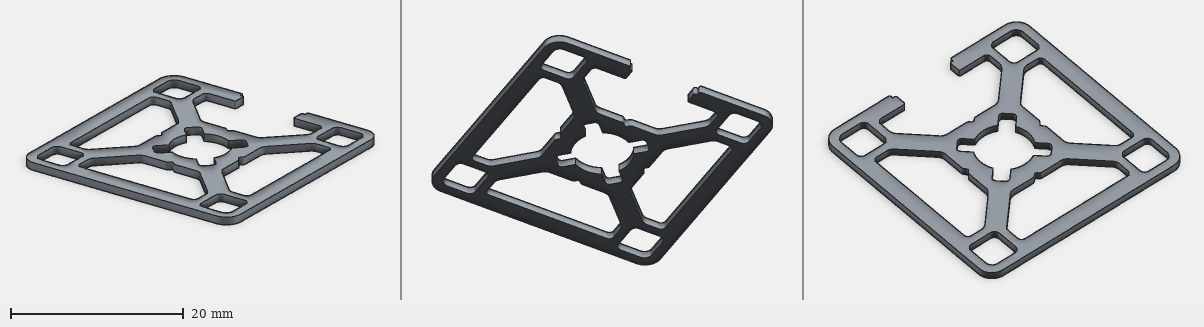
import cadquery as cq

side = 30.0
half_side = side / 2
thickness = 1.0
outer_radius = 2.0

cell_wall = 1.2
cell_size = 4.32
cell_radius = 0.75
cell_outer_radius = 1.0

slot_wall = 2.2
slot_roof = half_side - slot_wall
slot_half_width = 8.4
slot_floor = 5.9
web_offset = 1.8
slot_radius = 0.6
web_radius = 1.2

groove_depth = 0.5
groove_edge_radius = 0.6
groove_tip_radius = 0.3

opening_half_width = 4.1
step_width = 0.48
step_depth = 0.5
lip_radius = 0.2
step_level = half_side - step_depth
mouth_half_width = opening_half_width + step_width

bore_radius = 3.63
arm_width = 2.07
arm_reach = 5.5
arm_radius = 0.5


def near_point(x, y, reach=0.03):
    """Select the vertical edge that stands at (x, y)."""
    return cq.selectors.BoxSelector(
        (x - reach, y - reach, -reach), (x + reach, y + reach, thickness + reach)
    )


def round_edges(solid, points, radius):
    """Fillet the vertical edges that stand at the given points."""
    edges = solid.edges("|Z").edges(near_point(*points[0]))
    for point in points[1:]:
        edges = edges.add(solid.edges("|Z").edges(near_point(*point)))
    return edges.fillet(radius)


def mirrored(points):
    """Return the points followed by their mirror images, in reverse order, across X = 0."""
    return points + [(-x, y) for x, y in reversed(points)]


def corner_cell():
    """Hollow of the +X +Y corner, with a larger radius at its outer corner."""
    outer = half_side - cell_wall
    centre = outer - cell_size / 2
    cell = cq.Workplane("XY").center(centre, centre).rect(cell_size, cell_size).extrude(thickness)
    inner = outer - cell_size
    cell = round_edges(cell, [(inner, inner), (inner, outer), (outer, inner)], cell_radius)
    return round_edges(cell, [(outer, outer)], cell_outer_radius)


def slot_cavity():
    """Closed cavity on the +Y side, narrowing to a grooved floor."""
    corners = mirrored([
        (-slot_half_width, slot_roof),
        (-slot_half_width, slot_half_width + web_offset),
        (web_offset - slot_floor, slot_floor),
    ])
    groove_edges = [(-groove_depth, slot_floor), (groove_depth, slot_floor)]
    groove_tip = (0, slot_floor - groove_depth)
    outline = corners[:3] + [groove_edges[0], groove_tip, groove_edges[1]] + corners[3:]
    cavity = cq.Workplane("XY").polyline(outline).close().extrude(thickness)
    cavity = round_edges(cavity, [corners[0], corners[-1]], slot_radius)
    cavity = round_edges(cavity, corners[1:-1], web_radius)
    cavity = round_edges(cavity, groove_edges, groove_edge_radius)
    return round_edges(cavity, [groove_tip], groove_tip_radius)


def slot_opening():
    """Stepped gap between the two lips of the +Y side."""
    lip_corners = mirrored([
        (-opening_half_width, slot_roof),
        (-opening_half_width, step_level),
    ])
    mouth_corners = mirrored([(-mouth_half_width, step_level), (-mouth_half_width, half_side)])
    outline = lip_corners[:2] + mouth_corners + lip_corners[2:]
    return cq.Workplane("XY").polyline(outline).close().extrude(thickness)


def round_lips(plate):
    """Round the convex corners of both lips."""
    return round_edges(
        plate,
        mirrored([
            (-mouth_half_width, half_side),
            (-opening_half_width, step_level),
            (-opening_half_width, slot_roof),
        ]),
        lip_radius,
    )


def centre_hole():
    """Round bore crossed by two diagonal slots with rounded ends."""
    hole = cq.Workplane("XY").circle(bore_radius).extrude(thickness)
    for angle in (45, 135):
        arm = cq.Workplane("XY").rect(2 * arm_reach, arm_width).extrude(thickness)
        arm = arm.edges("|Z").fillet(arm_radius)
        hole = hole.union(arm.rotate((0, 0, 0), (0, 0, 1), angle))
    return hole


plate = cq.Workplane("XY").rect(side, side).extrude(thickness).edges("|Z").fillet(outer_radius)
for quarter_turn in range(4):
    cavities = corner_cell().union(slot_cavity())
    plate = plate.cut(cavities.rotate((0, 0, 0), (0, 0, 1), 90 * quarter_turn))
plate = plate.cut(slot_opening())
plate = round_lips(plate)
result = plate.cut(centre_hole())